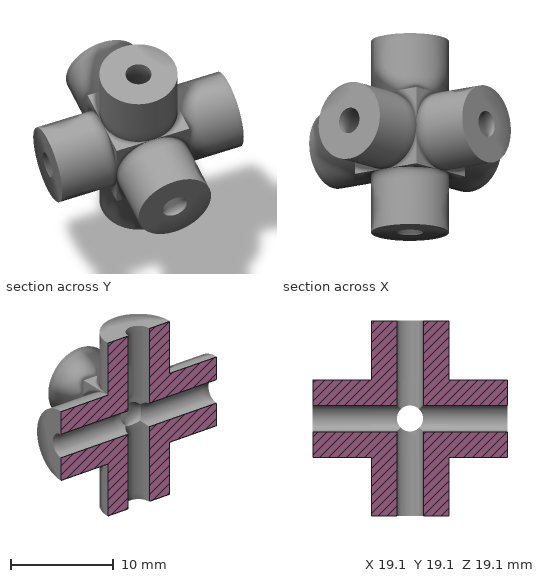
import cadquery as cq

span = 19.05
arm_diameter = 7.62
bore_diameter = 2.53
cube_side = arm_diameter

axis_planes = ("XY", "YZ", "XZ")


def centred_rod(plane, diameter):
    """Cylinder of the full span, centred on the origin, normal to the plane."""
    return cq.Workplane(plane).circle(diameter / 2).extrude(span / 2, both=True)


result = cq.Workplane("XY").box(cube_side, cube_side, cube_side)

for plane in axis_planes:
    result = result.union(centred_rod(plane, arm_diameter))

for plane in axis_planes:
    result = result.cut(centred_rod(plane, bore_diameter))